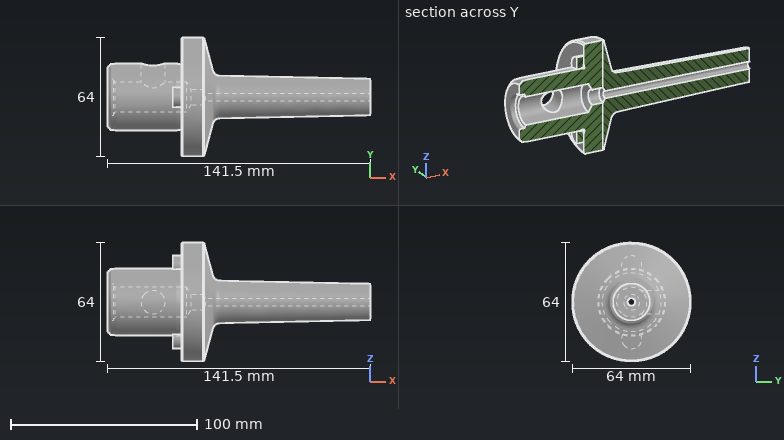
import cadquery as cq
import math


total_length = 141.5
flange_radius = 32.0
flange_front_x = 39.6
flange_back_x = 51.4
flange_front_chamfer = 0.8

nose_radius = 18.1
pilot_radius = 17.8
nose_chamfer = 2.0
nose_chamfer_round = 0.5
pilot_end_x = 3.3
pilot_end_round = 2.3
lead_in_end_x = 5.0

relief_start_x = 37.2
relief_neck_x = 38.8
relief_neck_radius = 17.7
relief_neck_round = 1.5
relief_depth = 0.4
relief_corner_radius = 0.5
relief_outer_radius = 19.8

bore_mouth_radius = 10.6
bore_round = 0.8
entry_bore_radius = bore_mouth_radius - bore_round
entry_bore_end_x = 3.1
step_end_x = 4.0
main_bore_radius = 8.0
main_bore_end_x = 42.5
bore_tip_slope = math.radians(59)
passage_radius = 4.2

side_hole_x = 24.5
side_hole_radius = 6.4

pin_front_x = 35.1
pin_radius = 5.4
pin_offset = 19.7

collar_chamfer_length = 0.8
collar_chamfer_depth = 0.5
collar_slope = math.radians(15)
collar_fillet = 3.5
shank_start_radius = 11.6
shank_end_radius = 9.9
end_land_radius = 8.2
end_land_height = 0.3
channel_radius = 2.0
channel_mouth_slope = bore_tip_slope

edge_tolerance = 0.07


def revolve_about_x(profile):
    """Revolve a closed (X, radius) profile a full turn about the X axis."""
    return profile.close().revolve(360, (0, 0, 0), (1, 0, 0))


def round_ring_edge(body, x, radius):
    """Round the circular edge that lies in the plane at the given X."""
    edge_box = cq.selectors.BoxSelector(
        (x - edge_tolerance, -flange_radius, -flange_radius),
        (x + edge_tolerance, flange_radius, flange_radius),
    )
    return body.edges("%CIRCLE").edges(edge_box).fillet(radius)


def make_head_blank():
    """Solid nose and flange, with the relief groove in the corner between them."""
    corner_x = flange_front_x + relief_depth
    corner_start_x = corner_x - relief_corner_radius
    corner_mid = relief_corner_radius * math.sqrt(0.5)
    corner_centre_radius = relief_neck_radius + relief_corner_radius
    blank = revolve_about_x(
        cq.Workplane("XY")
        .moveTo(0, 0)
        .lineTo(0, pilot_radius - nose_chamfer)
        .lineTo(nose_chamfer, pilot_radius)
        .lineTo(pilot_end_x, pilot_radius)
        .lineTo(lead_in_end_x, nose_radius)
        .lineTo(relief_start_x, nose_radius)
        .lineTo(relief_neck_x, relief_neck_radius)
        .lineTo(corner_start_x, relief_neck_radius)
        .threePointArc(
            (corner_start_x + corner_mid, corner_centre_radius - corner_mid),
            (corner_x, corner_centre_radius),
        )
        .lineTo(flange_front_x, relief_outer_radius)
        .lineTo(flange_front_x, flange_radius - flange_front_chamfer)
        .lineTo(flange_front_x + flange_front_chamfer, flange_radius)
        .lineTo(flange_back_x, flange_radius)
        .lineTo(flange_back_x, 0)
    )
    blank = round_ring_edge(blank, nose_chamfer, nose_chamfer_round)
    blank = round_ring_edge(blank, pilot_end_x, pilot_end_round)
    return round_ring_edge(blank, relief_neck_x, relief_neck_round)


def make_head_bore():
    """Rounded entry, conical step, main bore, conical tip and narrow passage."""
    bore_round_mid = bore_round * math.sqrt(0.5)
    tip_length = (main_bore_radius - passage_radius) / math.tan(bore_tip_slope)
    return revolve_about_x(
        cq.Workplane("XY")
        .moveTo(0, 0)
        .lineTo(0, bore_mouth_radius)
        .threePointArc(
            (bore_round - bore_round_mid, bore_mouth_radius - bore_round_mid),
            (bore_round, entry_bore_radius),
        )
        .lineTo(entry_bore_end_x, entry_bore_radius)
        .lineTo(step_end_x, main_bore_radius)
        .lineTo(main_bore_end_x, main_bore_radius)
        .lineTo(main_bore_end_x + tip_length, passage_radius)
        .lineTo(flange_back_x, passage_radius)
        .lineTo(flange_back_x, 0)
    )


def make_side_hole():
    """Radial hole from the bore axis out through the +Y wall of the nose."""
    return (
        cq.Workplane("XZ", origin=(side_hole_x, 0, 0))
        .circle(side_hole_radius)
        .extrude(-nose_radius)
    )


def make_head():
    return make_head_blank().cut(make_head_bore()).cut(make_side_hole())


def make_drive_pin(side):
    """Pin lying on the nose and ending on the flange face; side is +1 or -1 along Z."""
    pin_length = flange_front_x - pin_front_x
    pin = (
        cq.Workplane("YZ", origin=(pin_front_x, 0, 0))
        .center(0, side * pin_offset)
        .circle(pin_radius)
        .extrude(pin_length)
    )
    nose_seat = (
        cq.Workplane("YZ", origin=(pin_front_x, 0, 0))
        .circle(nose_radius)
        .extrude(pin_length)
    )
    return pin.cut(nose_seat)


def make_shank():
    """Conical collar blending into a slowly tapering shank, with a central channel."""
    collar_x = flange_back_x + collar_chamfer_length
    collar_radius = flange_radius - collar_chamfer_depth
    shank_end_x = total_length - end_land_height
    collar_foot_x = collar_x + (collar_radius - shank_start_radius) * math.tan(collar_slope)
    mouth_length = (passage_radius - channel_radius) / math.tan(channel_mouth_slope)

    blank = revolve_about_x(
        cq.Workplane("XY")
        .moveTo(flange_back_x, 0)
        .lineTo(flange_back_x, flange_radius)
        .lineTo(collar_x, collar_radius)
        .lineTo(collar_foot_x, shank_start_radius)
        .lineTo(shank_end_x, shank_end_radius)
        .lineTo(total_length, end_land_radius)
        .lineTo(total_length, 0)
    )
    blank = round_ring_edge(blank, collar_foot_x, collar_fillet)

    channel = revolve_about_x(
        cq.Workplane("XY")
        .moveTo(flange_back_x, 0)
        .lineTo(flange_back_x, passage_radius)
        .lineTo(flange_back_x + mouth_length, channel_radius)
        .lineTo(total_length, channel_radius)
        .lineTo(total_length, 0)
    )
    return blank.cut(channel)


head = make_head()
shank = make_shank()
drive_pins = [make_drive_pin(side) for side in (1, -1)]

result = cq.Compound.makeCompound([head.val(), shank.val(), *[pin.val() for pin in drive_pins]])